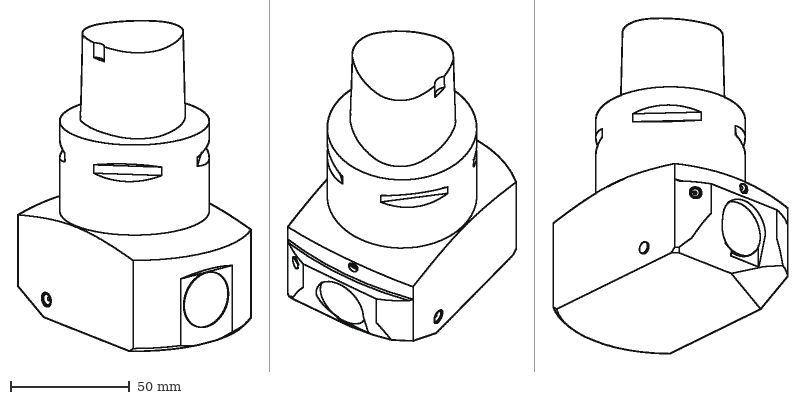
import cadquery as cq
import math

total_height = 124
collar_bottom = 46.0
collar_top = 86.0
rim_height = 41.0

head_radius = 50.0
head_half_width = 32.0
bottom_chamfer_height = 1.9
bottom_chamfer_width = 1.7

collar_radius = 31.5

groove_count = 4
groove_z = 73.7
groove_floor_height = 3.7
groove_mouth_height = 7.8
groove_floor_radius = 28.0

lobe_count = 3
lobe_offset = 9.0
lobe_radius = 14.4
side_distance = 20.2
shank_taper = 0.9
notch_diameter = 9.5
notch_depth = 6.5
notch_inner_y = -17.7

face_x = -46.4
ledge_z = 33.0
wall_x = -42.0
wall_edge_x = -math.sqrt(head_radius**2 - head_half_width**2)
foot_height = 0.7
foot_width = 0.7
slope_top_z = 19.2
slope_break_x = -42.5
slope_break_z = 6.5
slope_foot_x = -38.3

corner_cut_x = -21.2
corner_cut_z = 9.2

pin_diameter = 24.0
pin_z = 19.2
pin_end_x = -43.2
pin_tip_x = 49.4
pin_dome_radius = 40.9
pocket_floor_x = -42.0
pocket_side_y = 3.7

relief_x = 48.0
relief_z = 31.5

side_nozzle_x = -19.5
side_nozzle_z = 8.3
side_nozzle_diameters = (6.2, 5.5, 4.7, 1.5)
side_nozzle_shoulder = 0.4
upper_nozzle_y = -3.8
upper_nozzle_z = 39.8
upper_nozzle_diameters = (4.2, 3.6, 3.3, 1.5)
upper_nozzle_shoulder = 1.0
upper_nozzle_tilt = 24
lower_nozzle_y = 24.7
lower_nozzle_z = 28.0
lower_nozzle_diameters = (5.1, 4.3, 3.6, 1.5)
lower_nozzle_shoulder = 1.1
lower_nozzle_tilt = 20
bevel_depth = 0.4
bowl_depth = 1.0
bore_length = 3.1

stud_diameter = 5.1
stud_height = 0.7

margin = 6.2


def turned_body():
    """Head and collar as one turned shape."""
    points = [
        (0, 0),
        (head_radius - bottom_chamfer_width, 0),
        (head_radius, bottom_chamfer_height),
        (head_radius, rim_height),
        (collar_radius, collar_bottom),
        (collar_radius, collar_top),
        (0, collar_top),
    ]
    turned = cq.Workplane("XZ").polyline(points).close().revolve(360, (0, 0, 0), (0, 1, 0))
    flats = cq.Workplane("XY").box(
        2 * head_radius, 2 * head_half_width, total_height, centered=(True, True, False)
    )
    return turned.intersect(flats)


def polar(radius, degrees):
    angle = math.radians(degrees)
    return radius * math.cos(angle), radius * math.sin(angle)


def shank_outline(plane, inset):
    """Three tight lobes joined by three shallow sides, all tangent arcs."""
    radius = lobe_radius - inset
    side = side_distance - inset
    half_angle = math.radians(180 / lobe_count)
    lobe_along = lobe_offset * math.cos(half_angle)
    lobe_across = lobe_offset * math.sin(half_angle)
    rise = side - lobe_along
    side_radius = (lobe_across**2 + rise**2 - radius**2) / (2 * (rise - radius))
    joint = math.atan2(lobe_across, side_radius - rise)
    joint_radius = math.hypot(side - side_radius + side_radius * math.cos(joint),
                              side_radius * math.sin(joint))
    joint_angle = math.degrees(math.asin(side_radius * math.sin(joint) / joint_radius))

    step = 360 / lobe_count
    outline = plane.moveTo(*polar(joint_radius, -90 - joint_angle))
    for i in range(lobe_count):
        middle = -90 + i * step
        outline = outline.threePointArc(polar(side, middle), polar(joint_radius, middle + joint_angle))
        outline = outline.threePointArc(
            polar(lobe_offset + radius, middle + step / 2),
            polar(joint_radius, middle + step - joint_angle),
        )
    return outline.close()


def shank():
    bottom = shank_outline(cq.Workplane("XY").workplane(offset=collar_top), 0)
    both = shank_outline(bottom.workplane(offset=total_height - collar_top), shank_taper)
    body = both.loft(ruled=True, combine=True)
    notch = (
        cq.Workplane("XY", origin=(0, notch_inner_y - notch_diameter / 2, total_height - notch_depth))
        .circle(notch_diameter / 2)
        .extrude(notch_depth + margin)
    )
    return body.cut(notch)


def gripper_groove(angle):
    """Straight groove with a flat floor and flaring sides."""
    depth = collar_radius - groove_floor_radius
    flare = (groove_mouth_height - groove_floor_height) / 2 / depth
    outer = collar_radius + margin
    outer_half = groove_floor_height / 2 + flare * (outer - groove_floor_radius)
    floor_half = groove_floor_height / 2
    return (
        cq.Workplane("XZ")
        .polyline([
            (groove_floor_radius, groove_z - floor_half),
            (outer, groove_z - outer_half),
            (outer, groove_z + outer_half),
            (groove_floor_radius, groove_z + floor_half),
        ])
        .close()
        .extrude(collar_radius, both=True)
        .rotate((0, 0, 0), (0, 0, 1), angle)
    )


def wall_outline(plane, shift):
    """Region in front of the curved upper wall, moved outward by the shift."""
    outer_x = -head_radius - margin
    return (
        plane.moveTo(outer_x, -head_half_width)
        .lineTo(wall_edge_x - shift, -head_half_width)
        .threePointArc((wall_x - shift, 0), (wall_edge_x - shift, head_half_width))
        .lineTo(outer_x, head_half_width)
        .close()
    )


def upper_wall_cut():
    """Space in front of the curved upper wall, above the ledge and its bevelled foot."""
    foot_top_z = ledge_z + foot_height
    foot = wall_outline(cq.Workplane("XY", origin=(0, 0, ledge_z)), foot_width)
    foot = wall_outline(foot.workplane(offset=foot_height), 0).loft(ruled=True, combine=True)
    wall = wall_outline(cq.Workplane("XY", origin=(0, 0, foot_top_z)), 0)
    return wall.extrude(collar_bottom - foot_top_z).union(foot)


def front_profile_cut():
    """Flat front face and the two slopes below it."""
    outer_x = -head_radius - margin
    return (
        cq.Workplane("XZ")
        .polyline([
            (outer_x, ledge_z),
            (face_x, ledge_z),
            (face_x, slope_top_z),
            (slope_break_x, slope_break_z),
            (slope_foot_x, 0),
            (outer_x, 0),
        ])
        .close()
        .extrude(head_half_width, both=True)
    )


def corner_cut():
    """Slanted plane that takes off the lower corner, cut as a large tetrahedron."""
    run_x = corner_cut_x - slope_foot_x
    reach = 3
    apex = cq.Vector(corner_cut_x - reach * run_x, -head_half_width, 0)
    start = cq.Vector(corner_cut_x, -head_half_width, 0)
    to_foot = cq.Vector(-run_x, head_half_width, 0)
    to_flat = cq.Vector(-run_x, 0, corner_cut_z)
    foot = start + to_foot * reach
    high = start + to_flat * reach
    triangles = [(apex, start, foot), (apex, start, high), (apex, foot, high), (start, foot, high)]
    faces = [
        cq.Face.makeFromWires(cq.Wire.makePolygon(corners, close=True)) for corners in triangles
    ]
    return cq.Workplane(cq.Solid.makeSolid(cq.Shell.makeShell(faces)))


def pin_bore():
    """Bore for the pin, open to the front, with a square lower corner in the pocket."""
    radius = pin_diameter / 2
    start_x = -head_radius - margin
    bore = cq.Workplane("YZ", origin=(start_x, 0, pin_z)).circle(radius).extrude(-2 * start_x)
    square = cq.Workplane("XY").box(
        pocket_floor_x - start_x, radius + pocket_side_y, pin_z, centered=False
    )
    return bore.union(square.translate((start_x, -radius, 0)))


def relief_cut():
    """Flat relief on the +X side with a 45 degree upper end."""
    outer_x = head_radius + margin
    return (
        cq.Workplane("XZ")
        .polyline([
            (relief_x, -margin),
            (relief_x, relief_z),
            (outer_x, relief_z + outer_x - relief_x),
            (outer_x, -margin),
        ])
        .close()
        .extrude(head_half_width, both=True)
    )


def nozzle_cut(place, inward, diameters, shoulder_depth):
    """Bevelled mouth, shoulder, bowl and small bore, sunk from a point on the surface."""
    mouth, shoulder, bowl, bore = [diameter / 2 for diameter in diameters]
    bowl_end = shoulder_depth + bowl_depth
    bore_end = bowl_end + bore_length
    profile = [
        (0, -margin),
        (mouth, -margin),
        (mouth, shoulder_depth - bevel_depth),
        (shoulder, shoulder_depth),
        (bowl, shoulder_depth),
        (bore, bowl_end),
        (bore, bore_end),
        (0, bore_end),
    ]
    upright = cq.Workplane("XZ").polyline(profile).close().revolve(360, (0, 0, 0), (0, 1, 0))
    plane = cq.Plane(origin=place, normal=inward)
    return cq.Workplane(upright.val().moved(cq.Location(plane)))


def side_nozzle():
    place = (side_nozzle_x, -head_half_width, side_nozzle_z)
    return nozzle_cut(place, (0, 1, 0), side_nozzle_diameters, side_nozzle_shoulder)


def rising(x, y, degrees):
    """Direction that heads along (x, y) and climbs by an angle."""
    return x, y, math.hypot(x, y) * math.tan(math.radians(degrees))


def upper_nozzle():
    place = (wall_x, upper_nozzle_y, upper_nozzle_z)
    inward = rising(1, 0, upper_nozzle_tilt)
    return nozzle_cut(place, inward, upper_nozzle_diameters, upper_nozzle_shoulder)


def lower_nozzle():
    surface_x = -math.sqrt(head_radius**2 - lower_nozzle_y**2)
    place = (surface_x, lower_nozzle_y, lower_nozzle_z)
    inward = rising(-surface_x, -lower_nozzle_y, lower_nozzle_tilt)
    return nozzle_cut(place, inward, lower_nozzle_diameters, lower_nozzle_shoulder)


def stud():
    return (
        cq.Workplane("XZ", origin=(side_nozzle_x, head_half_width, side_nozzle_z))
        .circle(stud_diameter / 2)
        .extrude(-stud_height)
    )


def make_housing():
    body = turned_body()
    for i in range(groove_count):
        body = body.cut(gripper_groove((i + 0.5) * 360 / groove_count))
    body = body.union(shank())
    cuts = [
        upper_wall_cut(),
        front_profile_cut(),
        corner_cut(),
        relief_cut(),
        pin_bore(),
        side_nozzle(),
        upper_nozzle(),
        lower_nozzle(),
    ]
    for cut in cuts:
        body = body.cut(cut)
    return body.union(stud())


def make_pin():
    """Round pin with a flat recessed end and a domed end on the +X side."""
    radius = pin_diameter / 2
    dome_edge_x = pin_tip_x - pin_dome_radius + math.sqrt(pin_dome_radius**2 - radius**2)
    half_angle = math.asin(radius / pin_dome_radius) / 2
    dome_middle = (
        pin_tip_x - pin_dome_radius * (1 - math.cos(half_angle)),
        pin_dome_radius * math.sin(half_angle),
    )
    return (
        cq.Workplane("XY", origin=(0, 0, pin_z))
        .moveTo(pin_end_x, 0)
        .lineTo(pin_end_x, radius)
        .lineTo(dome_edge_x, radius)
        .threePointArc(dome_middle, (pin_tip_x, 0))
        .close()
        .revolve(360, (0, 0, 0), (1, 0, 0))
    )


housing = make_housing()
pin = make_pin()
result = cq.Compound.makeCompound([housing.val(), pin.val()])